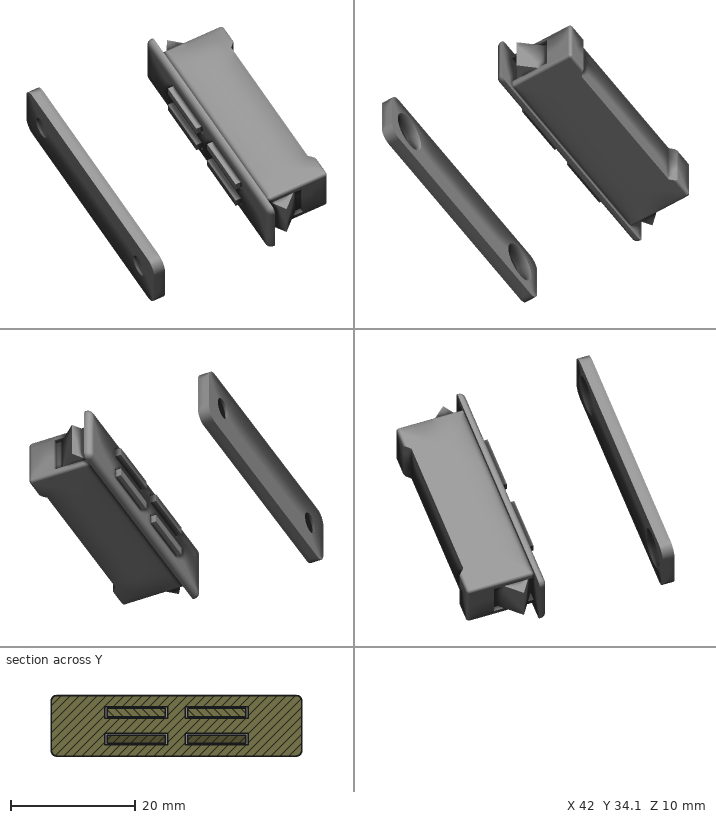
import cadquery as cq
import math


box_length = 34.65
box_depth = 11.4
box_height = 8.2
box_round = 0.5
notch_floor_length = 25.2
notch_depth = 1.05

flange_length = 40.55
flange_thickness = 1.2
flange_height = 10.0
flange_round = 1.0

latch_height = 6.05
latch_tip_x = 19.65
latch_tip_y = 2.48
latch_front_y = 0.95
pocket_depth = 0.75
pocket_floor_start_y = 5.85
pocket_back_y = 6.75

prong_length = 9.35
prong_thickness = 1.4
prong_protrusion = 0.92
prong_offset_x = 6.45
pole_offset_z = 2.15
pole_depth = 4.2
slot_clearance_x = 0.35
slot_clearance_z = 0.2

plate_length = 42.0
plate_thickness = 2.0
plate_height = flange_height
plate_corner_radius = 2.0
plate_hole_diameter = 3.53
plate_hole_spacing = 32.0
plate_hole_land = 0.4
countersink_angle = 90
plate_gap = 18.55

box_end_x = box_length / 2
prong_front_y = -flange_thickness - prong_protrusion
plate_back_y = prong_front_y - plate_gap
countersink_depth = plate_thickness - plate_hole_land
pole_length = 2 * prong_offset_x + prong_length
pole_levels = [-pole_offset_z, pole_offset_z]
prong_places = [-prong_offset_x, prong_offset_x]

latch_front_slope = (latch_tip_x - box_end_x) / (latch_tip_y - latch_front_y)
latch_root_x = latch_tip_x - latch_front_slope * latch_tip_y

pocket_floor_x = box_end_x - pocket_depth
latch_rear_slope = (latch_tip_x - pocket_floor_x) / (pocket_floor_start_y - latch_tip_y)
latch_rear_y = latch_tip_y + (latch_tip_x - box_end_x) / latch_rear_slope


def block(length, height, y_front, y_back, x=0, z=0):
    """Block centred on x and z that runs from y_front to y_back."""
    return (
        cq.Workplane("XY")
        .box(length, y_back - y_front, height, centered=(True, False, True))
        .translate((x, y_front, z))
    )


def prism(points):
    """Outline in XY extruded to the height of the latch, centred on Z = 0."""
    return cq.Workplane("XY").polyline(points).close().extrude(latch_height / 2, both=True)


def both_ends(shape):
    """The shape at the +X end together with its mirror image at the -X end."""
    return shape.union(shape.mirror("YZ"))


def make_box():
    box = block(box_length, box_height, 0, box_depth)
    box = box.edges("|Y or >Y").fillet(box_round)
    floor_half = notch_floor_length / 2
    back_half = floor_half + notch_depth
    notch = (
        cq.Workplane("XY")
        .polyline(
            [
                (-floor_half, box_depth - notch_depth),
                (floor_half, box_depth - notch_depth),
                (back_half, box_depth),
                (-back_half, box_depth),
            ]
        )
        .close()
        .extrude(box_height, both=True)
    )
    return box.cut(notch)


def make_flange():
    flange = block(flange_length, flange_height, -flange_thickness, 0)
    return flange.edges("|Y or <Y").fillet(flange_round)


def make_latch():
    """Wedge that stands out from the end wall."""
    return prism(
        [
            (box_end_x, latch_front_y),
            (latch_tip_x, latch_tip_y),
            (box_end_x, latch_rear_y),
        ]
    )


def make_latch_pockets():
    """Recesses in the end wall in front of the latch and behind it."""
    front = prism([(box_end_x, 0), (box_end_x, latch_front_y), (latch_root_x, 0)])
    rear = prism(
        [
            (box_end_x, latch_rear_y),
            (pocket_floor_x, pocket_floor_start_y),
            (pocket_floor_x, pocket_back_y),
            (box_end_x, pocket_back_y),
        ]
    )
    return front.union(rear)


def make_pole(z):
    """Flat bar inside the housing with two prongs that pass through the flange."""
    pole = block(pole_length, prong_thickness, 0, pole_depth, z=z)
    for x in prong_places:
        pole = pole.union(block(prong_length, prong_thickness, prong_front_y, 0, x, z))
    return pole


def make_prong_slot(x, z):
    """Opening through the flange with clearance all round a prong."""
    slot_length = prong_length + 2 * slot_clearance_x
    slot_height = prong_thickness + 2 * slot_clearance_z
    return block(slot_length, slot_height, -flange_thickness, 0, x, z)


def make_housing(pole_pieces):
    housing = make_box().union(make_flange())
    housing = housing.cut(both_ends(make_latch_pockets())).union(both_ends(make_latch()))
    for pole in pole_pieces:
        housing = housing.cut(pole)
    for z in pole_levels:
        for x in prong_places:
            housing = housing.cut(make_prong_slot(x, z))
    return housing


def make_strike_plate():
    plate = block(plate_length, plate_height, plate_back_y - plate_thickness, plate_back_y)
    plate = plate.edges("|Y").fillet(plate_corner_radius)
    countersink_diameter = plate_hole_diameter + 2 * countersink_depth * math.tan(
        math.radians(countersink_angle / 2)
    )
    return (
        plate.faces(">Y")
        .workplane(centerOption="CenterOfBoundBox")
        .rarray(plate_hole_spacing, 0.4, 2, 1)
        .cskHole(plate_hole_diameter, countersink_diameter, countersink_angle)
    )


poles = [make_pole(z) for z in pole_levels]
housing = make_housing(poles)
strike_plate = make_strike_plate()

result = cq.Compound.makeCompound([housing.val(), strike_plate.val(), *[pole.val() for pole in poles]])